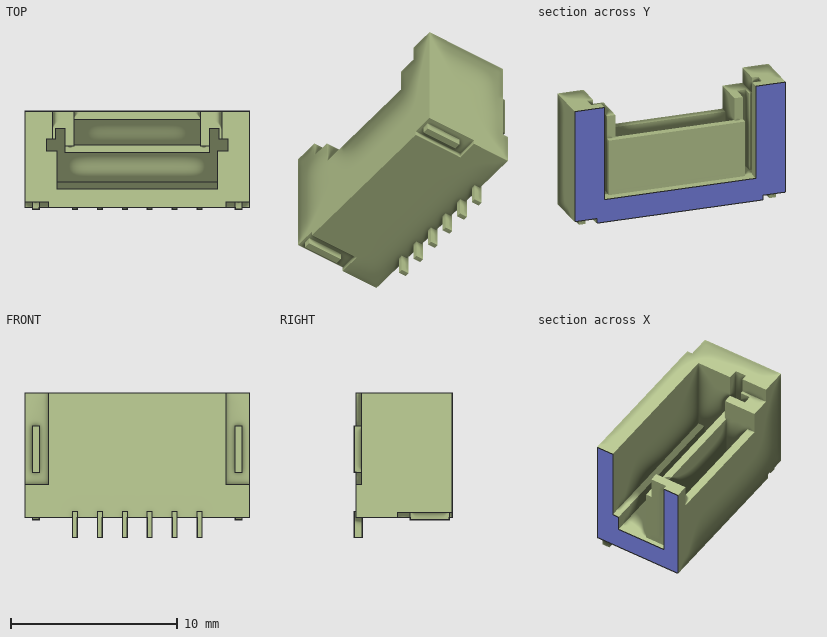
import cadquery as cq


body_width = 13.5
body_depth = 5.8
body_height = 7.5
half_width = body_width / 2

cavity_half_width = 4.83
front_wall = 1.13
floor_height = 1.5
ledge_depth = 0.42
ledge_height = 2.5

block_outer_x = 5.08
block_inner_x = 3.81
block_depth = 2.1
block_top = 6.5

side_slot_x = 5.46
side_slot_back = 1.68
side_slot_front = 2.4
key_inner_x = 4.35
key_outer_x = 4.9
key_back = 1.04

rear_wall = 0.5
rear_wall_top = 5.0
divider_back = 2.02
divider_front = 2.47
divider_top = 5.05

recess_width = 1.42
front_recess_depth = 0.35
front_recess_bottom = 2.0
bottom_recess_height = 0.3
bottom_recess_length = 3.3
tab_inset = 0.45
tab_width = 0.42
front_tab_bottom = 2.73
front_tab_top = 5.52
bottom_tab_back = 0.18
bottom_tab_front = 2.53
bottom_tab_projection = 0.13

pin_count = 6
pin_pitch = 1.5
pin_width = 0.3
pin_thickness = 0.5
pin_top = 0.38
pin_length_below = 1.2
front_projection = 0.1


def block(x_range, y_range, z_range):
    """Axis-aligned box between pairs of coordinates."""
    (x0, x1), (y0, y1), (z0, z1) = x_range, y_range, z_range
    corner = cq.Vector(x0, y0, z0)
    return cq.Workplane(cq.Solid.makeBox(x1 - x0, y1 - y0, z1 - z0, corner))


def both_sides(x_range, y_range, z_range):
    """Box at positive X together with its mirror image at negative X."""
    right = block(x_range, y_range, z_range)
    return right.union(right.mirror("YZ"))


def centered(half, y_range, z_range):
    """Box reaching equally far to both sides of the mid-plane."""
    return block((-half, half), y_range, z_range)


def from_back(near, far):
    """Y range between two distances measured from the back face."""
    return (body_depth - far, body_depth - near)


def cut_cavity(body):
    """Hollow the housing, leaving the rear blocks, low rear wall and divider."""
    above_floor = (floor_height, body_height)
    cavity_back = body_depth - block_depth
    body = body.cut(centered(cavity_half_width, (front_wall, cavity_back), above_floor))
    body = body.cut(centered(block_inner_x, (front_wall, body_depth - rear_wall), above_floor))
    body = body.cut(centered(block_inner_x, from_back(0, rear_wall), (rear_wall_top, body_height)))
    body = body.cut(centered(block_outer_x, from_back(0, block_depth), (block_top, body_height)))
    return body


def cut_key_slots(body):
    """L-shaped guide slots at both ends of the cavity."""
    above_floor = (floor_height, body_height)
    side_slot_y = from_back(side_slot_back, side_slot_front)
    body = body.cut(both_sides((key_inner_x, side_slot_x), side_slot_y, above_floor))
    key_y = from_back(key_back, side_slot_front)
    return body.cut(both_sides((key_inner_x, key_outer_x), key_y, above_floor))


def add_cavity_walls(body):
    """Dividing wall across the cavity and the low ledge along the front wall."""
    divider_y = from_back(divider_back, divider_front)
    body = body.union(centered(key_inner_x, divider_y, (floor_height, divider_top)))
    ledge_y = (front_wall, front_wall + ledge_depth)
    return body.union(centered(cavity_half_width, ledge_y, (floor_height, ledge_height)))


def cut_corner_recesses(body):
    """Recesses in the front face and underside at both ends."""
    recess_x = (half_width - recess_width, half_width)
    front_z = (front_recess_bottom, body_height)
    body = body.cut(both_sides(recess_x, (0, front_recess_depth), front_z))
    bottom_y = from_back(0, bottom_recess_length)
    return body.cut(both_sides(recess_x, bottom_y, (0, bottom_recess_height)))


def add_solder_tabs(body):
    """Tabs standing in the front and bottom recesses."""
    tab_outer_x = half_width - tab_inset
    tab_x = (tab_outer_x - tab_width, tab_outer_x)
    front_y = (-front_projection, front_recess_depth)
    body = body.union(both_sides(tab_x, front_y, (front_tab_bottom, front_tab_top)))
    bottom_y = from_back(bottom_tab_back, bottom_tab_front)
    bottom_z = (-bottom_tab_projection, bottom_recess_height)
    return body.union(both_sides(tab_x, bottom_y, bottom_z))


def add_pins(body):
    """Row of contact pins along the lower front edge."""
    pin_y = (-front_projection, pin_thickness - front_projection)
    first_x = -pin_pitch * (pin_count - 1) / 2
    for index in range(pin_count):
        left = first_x + index * pin_pitch - pin_width / 2
        body = body.union(block((left, left + pin_width), pin_y, (-pin_length_below, pin_top)))
    return body


housing = centered(half_width, (0, body_depth), (0, body_height))
housing = cut_cavity(housing)
housing = cut_key_slots(housing)
housing = add_cavity_walls(housing)
housing = cut_corner_recesses(housing)
housing = add_solder_tabs(housing)
result = add_pins(housing)